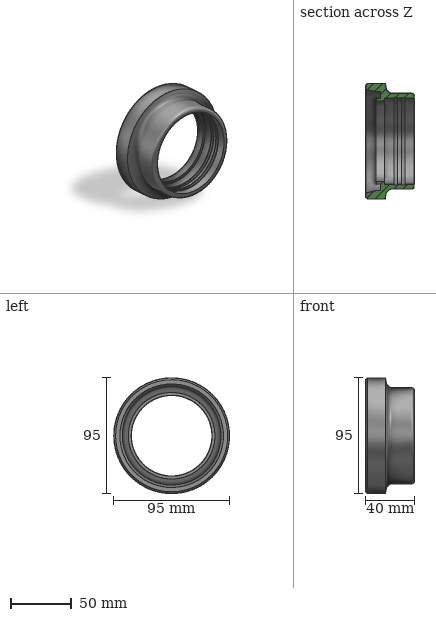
import cadquery as cq
import math

length = 40.0
flange_radius = 47.5
flange_width = 16.15
flange_chamfer = 1.5
hub_radius = 79.0 / 2
hub_end_fillet = 2.5
neck_fillet = 4.8
flange_back_angle = math.radians(10)

seat_mouth_radius = 42.5
seat_radius = 80.8 / 2
seat_taper_depth = 8.3
seat_depth = 12.0
lip_outer_radius = 71.0 / 2
lip_front = 8.5

lip_bore_radius = 66.0 / 2
lip_bore_end = 15.5
bore_radius = 70.4 / 2
groove_radius = 71.4 / 2
groove_width = 2.8
groove_starts = (23.2, 29.4)


def outer_body():
    """Flange, filleted neck and hub, revolved as a solid body."""
    center_radius = hub_radius + neck_fillet
    tangent_radius = center_radius - neck_fillet * math.sin(flange_back_angle)
    tangent_x = flange_width + (flange_radius - tangent_radius) * math.tan(flange_back_angle)
    center_x = tangent_x + neck_fillet * math.cos(flange_back_angle)
    middle_angle = (flange_back_angle + math.pi / 2) / 2
    neck_middle = (
        center_x - neck_fillet * math.cos(middle_angle),
        center_radius - neck_fillet * math.sin(middle_angle),
    )
    fillet_inset = hub_end_fillet * (1 - math.sqrt(0.5))
    profile = (
        cq.Workplane("XY")
        .moveTo(0, 0)
        .lineTo(0, flange_radius - flange_chamfer)
        .lineTo(flange_chamfer, flange_radius)
        .lineTo(flange_width, flange_radius)
        .lineTo(tangent_x, tangent_radius)
        .threePointArc(neck_middle, (center_x, hub_radius))
        .lineTo(length - hub_end_fillet, hub_radius)
        .threePointArc(
            (length - fillet_inset, hub_radius - fillet_inset),
            (length, hub_radius - hub_end_fillet),
        )
        .lineTo(length, 0)
        .close()
    )
    return profile.revolve(360, (0, 0, 0), (1, 0, 0))


def inner_cavity():
    """Seat, lip bore and grooved bore as one revolved cutting body."""
    points = [
        (0, 0),
        (0, seat_mouth_radius),
        (seat_taper_depth, seat_radius),
        (seat_depth, seat_radius),
        (seat_depth, lip_outer_radius),
        (lip_front, lip_outer_radius),
        (lip_front, lip_bore_radius),
        (lip_bore_end, lip_bore_radius),
        (lip_bore_end, bore_radius),
    ]
    for start in groove_starts:
        end = start + groove_width
        points += [
            (start, bore_radius),
            (start, groove_radius),
            (end, groove_radius),
            (end, bore_radius),
        ]
    points += [(length, bore_radius), (length, 0)]
    return cq.Workplane("XY").polyline(points).close().revolve(360, (0, 0, 0), (1, 0, 0))


result = outer_body().cut(inner_cavity())